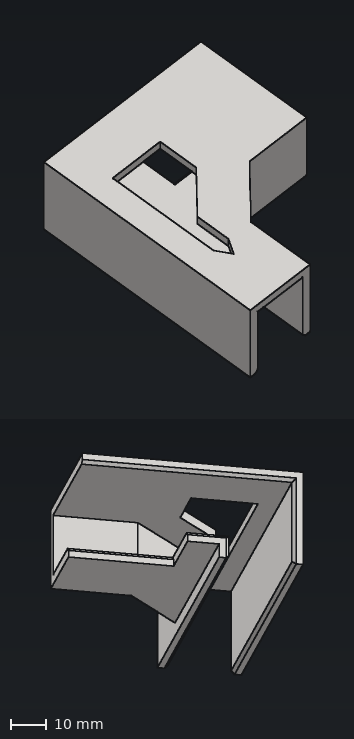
import cadquery as cq
import math


length = 80.0
depth = 63.0
height = 28.0

board = 18.0
lip_drop = 4.0
wall = (height - board - lip_drop) / 2
lead_in = wall / 3

arm_length = 23.0
diagonal_run = 16.0
diagonal_angle = 45
diagonal_end_x = length - arm_length
arm_x = diagonal_end_x - diagonal_run
arm_y = depth - arm_length - diagonal_run
diagonal_start_y = depth - arm_length

front_face_y = wall
stop_face_y = arm_y - wall
stop_face_x = arm_x - wall
diagonal_shift = wall * math.tan(math.radians(diagonal_angle / 2))
plate_underside = height - wall
flange_top = plate_underside - board
flange_underside = flange_top - wall

flange_start_x = 18.0
tongue_width = 12.0
tongue_back_y = stop_face_y + tongue_width

window_start_x = 18.0
window_back_y = 28.0
window_back_end_x = 32.0
slot_width = 6.0
slot_end_x = diagonal_end_x
slot_center_y = front_face_y + board / 2
slot_front_y = slot_center_y - slot_width / 2
slot_back_y = slot_center_y + slot_width / 2
slot_start_x = window_back_end_x + window_back_y - slot_back_y
point_length = 5.0

back_edge = [
    (length, arm_y),
    (diagonal_end_x, arm_y),
    (arm_x, diagonal_start_y),
    (arm_x, depth),
]


def prism(points, bottom, top):
    """Upright prism over a closed outline."""
    return cq.Workplane("XY").workplane(offset=bottom).polyline(points).close().extrude(top - bottom)


def block(x_range, y_range, z_range):
    """Box between two limits along each axis."""
    (x0, x1), (y0, y1) = x_range, y_range
    return prism([(x0, y0), (x1, y0), (x1, y1), (x0, y1)], *z_range)


def top_plate():
    plate = prism([(0, 0), (length, 0)] + back_edge + [(0, depth)], plate_underside, height)
    window = prism(
        [
            (window_start_x, slot_front_y),
            (slot_end_x, slot_front_y),
            (slot_end_x + point_length, slot_center_y),
            (slot_end_x, slot_back_y),
            (slot_start_x, slot_back_y),
            (window_back_end_x, window_back_y),
            (window_start_x, window_back_y),
        ],
        plate_underside,
        height,
    )
    return plate.cut(window)


def front_wall():
    return block((0, length), (0, front_face_y), (0, height))


def stop_wall():
    """Wall along the back edge, joining the plate to the flange."""
    stop_faces = [
        (stop_face_x, depth),
        (stop_face_x, diagonal_start_y - diagonal_shift),
        (diagonal_end_x - diagonal_shift, stop_face_y),
        (length, stop_face_y),
    ]
    return prism(back_edge + stop_faces, flange_underside, height)


def lower_flange():
    outline = [
        (0, stop_face_y),
        (length, stop_face_y),
        *back_edge,
        (flange_start_x, depth),
        (flange_start_x, tongue_back_y),
        (0, tongue_back_y),
    ]
    return prism(outline, flange_underside, flange_top)


def flange_lip():
    return block((0, length), (stop_face_y, arm_y), (0, flange_top))


def add_lead_ins(body):
    """Chamfer the edges where boards enter from the left and from below."""
    edge_points = [
        (0, depth / 2, plate_underside),
        (0, front_face_y, height / 2),
        (length / 2, front_face_y, 0),
        (0, (stop_face_y + tongue_back_y) / 2, flange_top),
        (flange_start_x, (tongue_back_y + depth) / 2, flange_top),
        (0, stop_face_y, flange_top / 2),
        (length / 2, stop_face_y, 0),
    ]
    selected = [body.edges(cq.NearestToPointSelector(point)).val() for point in edge_points]
    return body.newObject(selected).chamfer(lead_in)


jig = top_plate()
for piece in (front_wall(), stop_wall(), lower_flange(), flange_lip()):
    jig = jig.union(piece)
result = add_lead_ins(jig.clean())